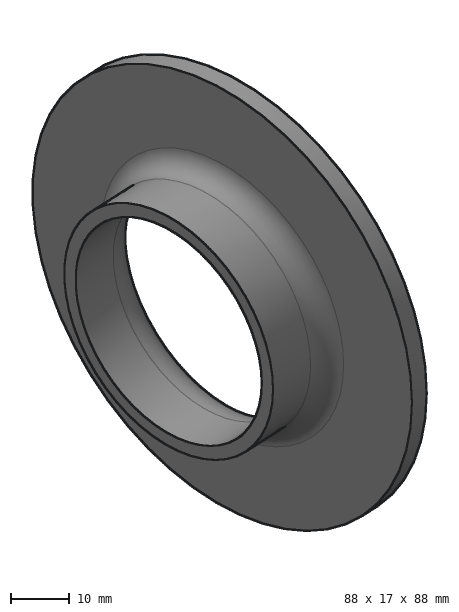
import cadquery as cq

flange_diameter = 88.0
flange_thickness = 3.7
hub_diameter = 48.4
bore_diameter = 43.1
overall_length = 17.0
root_fillet = 4.0
bore_flare = flange_thickness + root_fillet

flange_radius = flange_diameter / 2
hub_radius = hub_diameter / 2
bore_radius = bore_diameter / 2

flange_front = -flange_thickness
hub_end = -overall_length
diagonal = 0.5 ** 0.5


def quarter_arc_middle(center_x, center_y, radius):
    """Midpoint of the quarter arc facing the axis (-X) and the back (+Y)."""
    return (center_x - radius * diagonal, center_y + radius * diagonal)


fillet_center = (hub_radius + root_fillet, flange_front - root_fillet)
flare_center = (bore_radius + bore_flare, -bore_flare)

section = (
    cq.Workplane("XY")
    .moveTo(bore_radius, hub_end)
    .lineTo(hub_radius, hub_end)
    .lineTo(hub_radius, fillet_center[1])
    .threePointArc(
        quarter_arc_middle(*fillet_center, root_fillet),
        (fillet_center[0], flange_front),
    )
    .lineTo(flange_radius, flange_front)
    .lineTo(flange_radius, 0)
    .lineTo(flare_center[0], 0)
    .threePointArc(
        quarter_arc_middle(*flare_center, bore_flare),
        (bore_radius, flare_center[1]),
    )
    .close()
)

result = section.revolve(360, (0, 0, 0), (0, 1, 0))